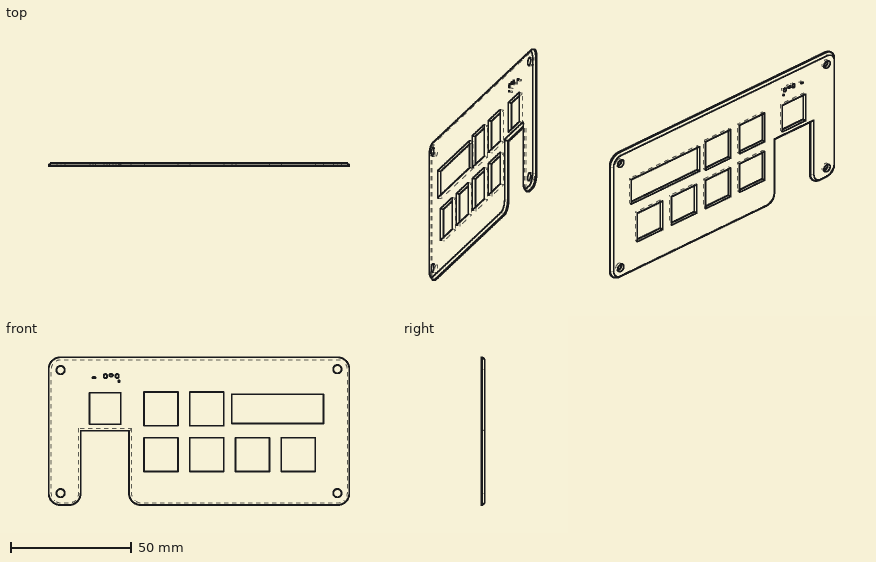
import cadquery as cq

WIDTH = 125.0
HEIGHT = 61.5
THICKNESS = 1.5
CORNER_RADIUS = 5.0
BACK_CHAMFER = 1.0

LEG_WIDTH = 13.4
NOTCH_WIDTH = 20.0
NOTCH_DEPTH = 30.9

HOLE_DIAMETER = 3.4
HOLE_INSET = 5.0
UPPER_LEFT_DROP = 0.4

KEY_SIZE = 14.0
KEY_PITCH = 19.0
FIRST_KEY_X = 46.8
LOWER_KEY_Z = 21.0
UPPER_ROW_KEYS = 2
LOWER_ROW_KEYS = 4

DISPLAY_WIDTH = 38.0
DISPLAY_HEIGHT = 12.0
DISPLAY_X = 95.1
DISPLAY_Z = 40.0

SQUARE_WIDTH = 12.9
SQUARE_X = 23.5
SQUARE_HEIGHT = 13.0
SQUARE_Z = 40.1

UPRIGHT_WIDTH = 1.2
UPRIGHT_HEIGHT = 1.6
UPRIGHT_PITCH = 4.9
UPRIGHT_Z = 53.6
LEFT_UPRIGHT_X = 23.6
BRIDGE_WIDTH = 1.4
BRIDGE_HEIGHT = 0.9
BRIDGE_X = 26.0
BRIDGE_Z = 54.0
DASH_WIDTH = 1.1
DASH_HEIGHT = 0.4
DASH_X = 18.9
DASH_Z = 53.0
DOT_DIAMETER = 0.5
DOT_X = 29.2
DOT_Z = 51.5


def box(x, z, width, height):
    """Block through the full thickness, centred at (x, z)."""
    return cq.Workplane("XY").box(width, THICKNESS, height).translate((x, THICKNESS / 2, z))


def round_pin(x, z, diameter):
    """Cylinder through the full thickness, centred at (x, z)."""
    return cq.Workplane("XZ").center(x, z).circle(diameter / 2).extrude(-THICKNESS)


def make_plate():
    """Rounded plate with the notch and the chamfered back outline."""
    notch_x = LEG_WIDTH + NOTCH_WIDTH / 2
    plate = box(WIDTH / 2, HEIGHT / 2, WIDTH, HEIGHT)
    plate = plate.edges("|Y").fillet(CORNER_RADIUS)
    plate = plate.cut(box(notch_x, NOTCH_DEPTH / 2, NOTCH_WIDTH, NOTCH_DEPTH))
    for x in (LEG_WIDTH, LEG_WIDTH + NOTCH_WIDTH):
        corner = cq.selectors.NearestToPointSelector((x, THICKNESS / 2, 0))
        plate = plate.edges(corner).fillet(CORNER_RADIUS)
    return plate.faces(">Y").chamfer(BACK_CHAMFER)


def mounting_holes():
    right = WIDTH - HOLE_INSET
    top = HEIGHT - HOLE_INSET
    centres = [
        (HOLE_INSET, HOLE_INSET),
        (right, HOLE_INSET),
        (right, top),
        (HOLE_INSET, top - UPPER_LEFT_DROP),
    ]
    return [round_pin(x, z, HOLE_DIAMETER) for x, z in centres]


def key_openings():
    openings = []
    for row, count in enumerate((LOWER_ROW_KEYS, UPPER_ROW_KEYS)):
        z = LOWER_KEY_Z + row * KEY_PITCH
        for column in range(count):
            openings.append(box(FIRST_KEY_X + column * KEY_PITCH, z, KEY_SIZE, KEY_SIZE))
    return openings


def large_windows():
    return [
        box(DISPLAY_X, DISPLAY_Z, DISPLAY_WIDTH, DISPLAY_HEIGHT),
        box(SQUARE_X, SQUARE_Z, SQUARE_WIDTH, SQUARE_HEIGHT),
    ]


def round_slot(x, z, width, height):
    """Slot through the full thickness with half-round ends on its longer axis."""
    length = max(width, height)
    angle = 90 if height > width else 0
    outline = cq.Workplane("XZ").center(x, z).slot2D(length, min(width, height), angle)
    return outline.extrude(-THICKNESS)


def tiny_openings():
    """Two upright slots with a short bridge slot between them, a dash and a dot."""
    return [
        round_slot(LEFT_UPRIGHT_X, UPRIGHT_Z, UPRIGHT_WIDTH, UPRIGHT_HEIGHT),
        round_slot(LEFT_UPRIGHT_X + UPRIGHT_PITCH, UPRIGHT_Z, UPRIGHT_WIDTH, UPRIGHT_HEIGHT),
        round_slot(BRIDGE_X, BRIDGE_Z, BRIDGE_WIDTH, BRIDGE_HEIGHT),
        round_slot(DASH_X, DASH_Z, DASH_WIDTH, DASH_HEIGHT),
        round_pin(DOT_X, DOT_Z, DOT_DIAMETER),
    ]


result = make_plate()
for opening in mounting_holes() + key_openings() + large_windows() + tiny_openings():
    result = result.cut(opening)